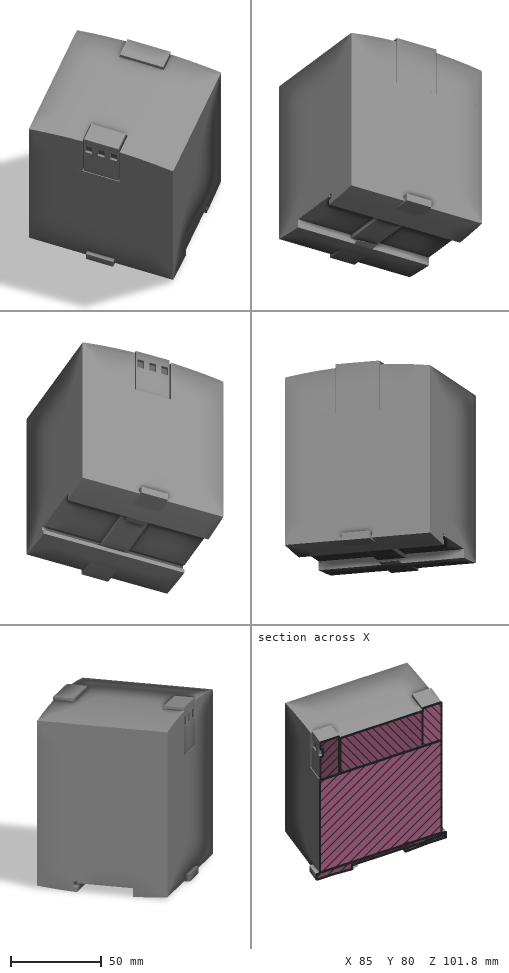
import cadquery as cq
import math

width = 85.0
depth = 75.0
rear_y = 37.3
front_y = rear_y - depth
overall_height = 101.81

joint_z = 73.9
roof_edge_z = 96.7
roof_crown_z = 99.9

lip_y = 14.45
undercut_y = 16.6
relief_y = 14.0
rail_wall_y = -17.85
rail_ceiling_z = 5.17
relief_top_z = 6.03
lip_slope_bottom_z = 2.6
lip_slope_top_z = 3.45
underside_radius = 346.0

slider_width = 16.0
slider_length = 80.0
slider_half_length = slider_length / 2
slider_thickness = 2.15
slider_bottom_z = rail_ceiling_z - slider_thickness
channel_width = 17.0
tab_bottom_z = 0.86
tab_inner_distance = 27.5
arm_width = 11.65
tongue_tip_y = -13.8
tongue_tip_thickness = 0.15

input_width = 20.3
input_front_y = -37.3
input_back_y = -25.6
input_top_z = 101.4
input_side_gap = 0.85
input_back_gap = 0.5

output_width = 25.5
output_front_y = 25.55
output_side_gap = 0.35

window_count = 3
window_pitch = 7.32
window_width = 4.0
window_bottom_z = 90.6
window_height = 5.25
window_depth = 1.5


def box(x_size, y_range, z_range):
    """Box centred on X that spans the given Y and Z ranges."""
    y_low, y_high = y_range
    z_low, z_high = z_range
    plan = cq.Workplane("XY", origin=(0, (y_low + y_high) / 2, z_low))
    return plan.rect(x_size, y_high - y_low).extrude(z_high - z_low)


def extrude_side_profile(profile_wire, x_size):
    """Extrude a YZ profile by x_size, centred on X."""
    return profile_wire.extrude(x_size / 2, both=True)


def underside_z(y):
    """Height of the bowed underside, which reaches zero at the rail lip."""
    centre_z = math.sqrt(underside_radius**2 - lip_y**2)
    return centre_z - math.sqrt(underside_radius**2 - y**2)


def underside_point(y):
    return (y, underside_z(y))


def make_arm():
    """Locking arm between the slider plate and the underside, its bottom following the bow."""
    profile = (
        cq.Workplane("YZ")
        .moveTo(front_y, slider_bottom_z)
        .lineTo(*underside_point(front_y))
        .threePointArc(
            underside_point((rail_wall_y + front_y) / 2),
            underside_point(rail_wall_y),
        )
        .lineTo(rail_wall_y, slider_bottom_z)
        .close()
    )
    return extrude_side_profile(profile, arm_width)


def make_housing():
    profile = (
        cq.Workplane("YZ")
        .moveTo(rear_y, joint_z)
        .lineTo(*underside_point(rear_y))
        .threePointArc(
            underside_point((rear_y + lip_y) / 2),
            underside_point(lip_y),
        )
        .lineTo(lip_y, lip_slope_bottom_z)
        .lineTo(undercut_y, lip_slope_top_z)
        .lineTo(undercut_y, relief_top_z)
        .lineTo(relief_y, relief_top_z)
        .lineTo(relief_y, rail_ceiling_z)
        .lineTo(rail_wall_y, rail_ceiling_z)
        .lineTo(*underside_point(rail_wall_y))
        .threePointArc(
            underside_point((rail_wall_y + front_y) / 2),
            underside_point(front_y),
        )
        .lineTo(front_y, joint_z)
        .close()
    )
    block = extrude_side_profile(profile, width)
    channel = box(channel_width, (front_y, rear_y), (slider_bottom_z, rail_ceiling_z))
    return block.cut(channel).cut(make_slider()).cut(make_rear_tab())


def make_cover():
    profile = (
        cq.Workplane("XZ", origin=(0, rear_y, 0))
        .moveTo(-width / 2, joint_z)
        .lineTo(-width / 2, roof_edge_z)
        .threePointArc((0, roof_crown_z), (width / 2, roof_edge_z))
        .lineTo(width / 2, joint_z)
        .close()
    )
    cap = profile.extrude(depth)
    input_pocket = box(
        input_width + 2 * input_side_gap,
        (front_y, input_back_y + input_back_gap),
        (joint_z, overall_height),
    )
    output_pocket = box(
        output_width + 2 * output_side_gap,
        (output_front_y, rear_y),
        (joint_z, overall_height),
    )
    return cap.cut(input_pocket).cut(output_pocket)


def make_input_terminal():
    block = box(input_width, (input_front_y, input_back_y), (joint_z, input_top_z))
    for index in range(window_count):
        window_x = (index - (window_count - 1) / 2) * window_pitch
        window = box(
            window_width,
            (input_front_y, input_front_y + window_depth),
            (window_bottom_z, window_bottom_z + window_height),
        ).translate((window_x, 0, 0))
        block = block.cut(window)
    return block


def make_output_terminal():
    return box(output_width, (output_front_y, rear_y), (joint_z, overall_height))


def make_slider():
    plate = box(
        slider_width,
        (-slider_half_length, slider_half_length),
        (slider_bottom_z, rail_ceiling_z),
    )
    front_tab = box(
        slider_width,
        (-slider_half_length, -tab_inner_distance),
        (tab_bottom_z, rail_ceiling_z),
    )
    tongue_profile = (
        cq.Workplane("YZ")
        .moveTo(rail_wall_y, tab_bottom_z)
        .lineTo(tongue_tip_y, tab_bottom_z)
        .lineTo(tongue_tip_y, tab_bottom_z - tongue_tip_thickness)
        .lineTo(*underside_point(rail_wall_y))
        .close()
    )
    tongue = extrude_side_profile(tongue_profile, arm_width)
    return plate.union(front_tab).union(make_arm()).union(tongue)


def make_rear_tab():
    """Rear tab under the end of the slider plate, reaching in as far as the bowed underside."""
    return box(
        slider_width,
        (tab_inner_distance, slider_half_length),
        (tab_bottom_z, slider_bottom_z),
    )


housing = make_housing()
cover = make_cover()
input_terminal = make_input_terminal()
output_terminal = make_output_terminal()
slider = make_slider()
rear_tab = make_rear_tab()

result = cq.Compound.makeCompound(
    [
        housing.val(),
        cover.val(),
        input_terminal.val(),
        output_terminal.val(),
        slider.val(),
        rear_tab.val(),
    ]
)